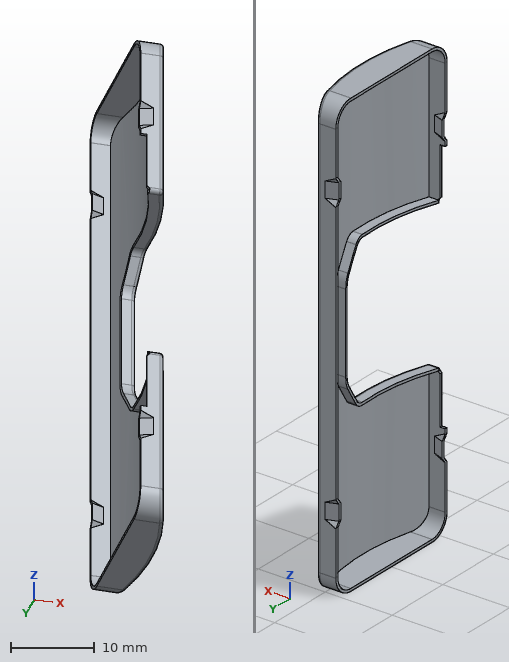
import cadquery as cq
import math

length = 66.1
width = 22.0
depth = 4.7
side_height = 2.7
wall = 0.4
corner_radius = 3.0
edge_radius = 0.45

half_width = width / 2
crown_rise = depth - side_height
crown_radius = (half_width**2 + crown_rise**2) / (2 * crown_rise)
crown_center_x = depth - crown_radius

opening_half_length = 11.05
opening_floor_y = 5.6
opening_floor_half_length = 6.8
opening_shoulder_y = 2.7
floor_bend_radius = 2.9
shoulder_radius = 1.3
mouth_corner_radius = 0.5
rim_depth = 1.8

relief_depth = 0.8
relief_end_z = 18.9
relief_corner = 0.3

dent_center_z = 21.515
dent_floor_length = 2.3
dent_mouth_length = 3.9
dent_depth = 0.6
dent_height = 1.6


def rounded_block(inset):
    """Block with rounded corners, inset from the outer side walls."""
    return (
        cq.Workplane("YZ")
        .rect(width - 2 * inset, length - 2 * inset)
        .extrude(depth)
        .edges("|X")
        .fillet(corner_radius - inset)
    )


def crown_cylinder(inset):
    """Cylinder along Z whose +X side is the crown, moved inward by inset."""
    return (
        cq.Workplane("XY")
        .center(crown_center_x, 0)
        .circle(crown_radius - inset)
        .extrude(length, both=True)
    )


def opening_prism(margin):
    """Opening outline grown by margin and extruded through the full depth."""
    floor_y = opening_floor_y + margin
    end_z = opening_half_length + margin
    slant = math.atan2(
        opening_floor_y - opening_shoulder_y,
        opening_half_length - opening_floor_half_length,
    )
    floor_z = opening_floor_half_length + margin * math.tan(slant / 2)
    shoulder_y = opening_shoulder_y + margin * math.tan((math.pi / 2 - slant) / 2)
    prism = (
        cq.Workplane("YZ")
        .polyline([
            (-width, -end_z),
            (shoulder_y, -end_z),
            (floor_y, -floor_z),
            (floor_y, floor_z),
            (shoulder_y, end_z),
            (-width, end_z),
        ])
        .close()
        .extrude(depth)
    )
    prism = prism.edges("|X").edges(">Y").fillet(floor_bend_radius + margin)
    shoulders = cq.selectors.BoxSelector(
        (-depth, shoulder_y - wall, -length), (2 * depth, shoulder_y + wall, length)
    )
    return prism.edges("|X").edges(shoulders).fillet(shoulder_radius + margin)


def dent_wedge(side, center_z, outset):
    """Ramp pushed into a long wall: deepest at X = 0, running out along +X.

    An outset of one wall thickness gives the bump on the inner face.
    """
    mouth_y = side * (half_width - outset)
    floor_y = side * (half_width - dent_depth - outset)
    half_mouth = dent_mouth_length / 2
    half_floor = dent_floor_length / 2
    corners = [
        cq.Vector(0, mouth_y, center_z - half_mouth),
        cq.Vector(0, floor_y, center_z - half_floor),
        cq.Vector(0, floor_y, center_z + half_floor),
        cq.Vector(0, mouth_y, center_z + half_mouth),
        cq.Vector(dent_height, mouth_y, center_z - half_floor),
        cq.Vector(dent_height, mouth_y, center_z + half_floor),
    ]
    face_corners = [(0, 1, 2, 3), (0, 3, 5, 4), (1, 2, 5, 4), (0, 1, 4), (2, 3, 5)]
    faces = [
        cq.Face.makeFromWires(cq.Wire.makePolygon([corners[i] for i in face], close=True))
        for face in face_corners
    ]
    return cq.Workplane(cq.Solid.makeSolid(cq.Shell.makeShell(faces)))


def wall_relief(direction):
    """Cut that lowers the -Y wall between its relief end and the opening."""
    return (
        cq.Workplane("XZ", origin=(0, -half_width, 0))
        .polyline([
            (0, direction * relief_end_z),
            (relief_depth, direction * relief_end_z),
            (relief_depth, direction * (opening_half_length + wall + relief_corner)),
            (relief_depth + relief_corner, direction * (opening_half_length + wall)),
            (relief_depth + relief_corner, direction * opening_half_length),
            (0, direction * opening_half_length),
        ])
        .close()
        .extrude(-wall)
    )


envelope = rounded_block(0).intersect(crown_cylinder(0))
body = envelope.cut(opening_prism(0))
mouth_corners = cq.selectors.BoxSelector(
    (-depth, -width, -opening_half_length - wall),
    (depth, wall - half_width, opening_half_length + wall),
)
body = body.edges("|X").edges(mouth_corners).fillet(mouth_corner_radius)
body = body.faces("%CYLINDER").faces(">X").edges().fillet(edge_radius)

cavity = rounded_block(wall).intersect(crown_cylinder(wall))
rim_zone = opening_prism(wall).cut(crown_cylinder(rim_depth))
result = body.cut(cavity.cut(rim_zone))

for side in (-1, 1):
    for center_z in (-dent_center_z, dent_center_z):
        result = result.union(dent_wedge(side, center_z, wall))
        result = result.cut(dent_wedge(side, center_z, 0))

for direction in (-1, 1):
    result = result.cut(wall_relief(direction))